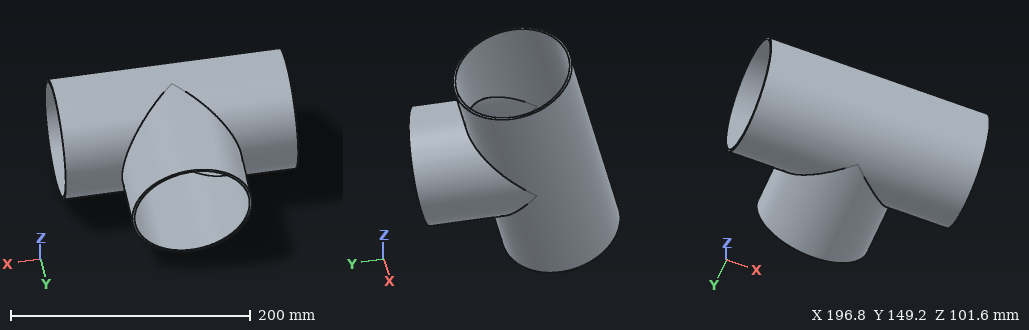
import cadquery as cq

outer_diameter = 101.6
bore_diameter = 97.38
center_to_end = 98.425


def run_cylinder(diameter):
    """Cylinder along X, spanning both run ends."""
    return cq.Workplane("YZ").circle(diameter / 2).extrude(center_to_end, both=True)


def branch_cylinder(diameter):
    """Cylinder along Y, from the run axis to the branch end."""
    return cq.Workplane("XZ").circle(diameter / 2).extrude(-center_to_end)


def tee_solid(diameter):
    """Run and branch of one diameter joined into a tee."""
    return run_cylinder(diameter).union(branch_cylinder(diameter))


result = tee_solid(outer_diameter).cut(tee_solid(bore_diameter))